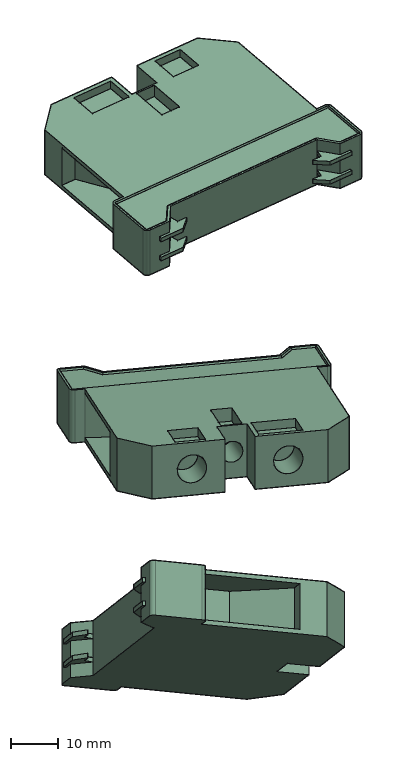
import cadquery as cq

THICKNESS = 12.0
MID_Z = THICKNESS / 2
BODY_HALF_WIDTH = 25.1
BODY_CHAMFER = 6.1
NOTCH_DEPTH = 7.15
NOTCH_WIDTH = 6.5

FOOT_START = 34.0
FOOT_END = 46.4
FOOT_HALF_WIDTH = 28.25
FOOT_CORNER_RADIUS = 1.0
SEAT_X = 42.45
SEAT_HALF_WIDTH = 19.0
SEAT_MOUTH_HALF_WIDTH = 22.15

RIM_WIDTH = 0.55
RECESS_DEPTH = 0.4
RECESS_WALL_RUN = 0.2

HOOK_THICKNESS = 1.0
HOOK_SPACING = 5.1
HOOK_BACK_X = 47.0
HOOK_ROOT_X = 45.0
HOOK_BARB_X = 44.45
HOOK_TIP_FLAT = 0.2
HOOK_OUTER_Y = 24.75
HOOK_BEVEL_Y = 19.1
HOOK_THROAT_Y = 18.6
HOOK_TIP_Y = 16.4

POCKET_MARGIN = 1.0
TERMINAL_POCKET_END_X = 7.55
TERMINAL_POCKET_DEPTH = 2.0
UPPER_POCKET_Y = (7.25, 13.8)
LOWER_POCKET_Y = (-13.8, -4.25)
MIDDLE_POCKET_X = (7.55, 16.5)
MIDDLE_POCKET_HALF_WIDTH = 2.3
MIDDLE_POCKET_DEPTH = 3.0

TERMINAL_HOLE_DIAMETER = 6.3
TERMINAL_HOLE_Y = 10.4
MIDDLE_HOLE_DIAMETER = 4.7

CAVITY_WALL = 1.0
CAVITY_START = 12.15
CAVITY_FLAT_START = 24.05
CAVITY_FLAT_END = 32.0
CAVITY_SIDE_DEPTH = 3.5
CAVITY_DEPTH = 10.5


def make_box(x_range, y_range, z_range):
    """Axis-aligned box spanning the three (low, high) ranges."""
    spans = [high - low for low, high in (x_range, y_range, z_range)]
    corner = (x_range[0], y_range[0], z_range[0])
    return cq.Workplane("XY").box(*spans, centered=False).translate(corner)


def add_mirror(solid):
    """The solid together with its mirror image across Y = 0."""
    return solid.union(solid.mirror("XZ"))


def make_body():
    range_y = (-BODY_HALF_WIDTH, BODY_HALF_WIDTH)
    body = make_box((0, FOOT_START + FOOT_CORNER_RADIUS), range_y, (0, THICKNESS))
    body = body.edges("|Z and <X").chamfer(BODY_CHAMFER)
    notch_y = (-NOTCH_WIDTH / 2, NOTCH_WIDTH / 2)
    return body.cut(make_box((0, NOTCH_DEPTH), notch_y, (0, THICKNESS)))


def foot_outline():
    """Closed outline of the foot, with sharp corners."""
    half = [
        (FOOT_START, FOOT_HALF_WIDTH),
        (FOOT_END, FOOT_HALF_WIDTH),
        (FOOT_END, SEAT_MOUTH_HALF_WIDTH),
        (SEAT_X, SEAT_HALF_WIDTH),
    ]
    other_half = [(x, -y) for x, y in reversed(half)]
    return cq.Workplane("XY").polyline(half + other_half).close()


def make_foot():
    foot = foot_outline().extrude(THICKNESS)
    return foot.edges("|Z and (>Y or <Y)").fillet(FOOT_CORNER_RADIUS)


def make_foot_recess():
    floor = foot_outline().offset2D(-RIM_WIDTH - RECESS_WALL_RUN, "intersection")
    mouth = foot_outline().offset2D(-RIM_WIDTH, "intersection")
    floor_wire = floor.val().translate(cq.Vector(0, 0, THICKNESS - RECESS_DEPTH))
    mouth_wire = mouth.val().translate(cq.Vector(0, 0, THICKNESS))
    return cq.Workplane(cq.Solid.makeLoft([floor_wire, mouth_wire], True))


def make_hooks():
    outline = [
        (HOOK_ROOT_X, HOOK_OUTER_Y),
        (HOOK_BACK_X, HOOK_OUTER_Y),
        (HOOK_BACK_X, HOOK_BEVEL_Y),
        (HOOK_BARB_X + HOOK_TIP_FLAT, HOOK_TIP_Y),
        (HOOK_BARB_X, HOOK_TIP_Y),
        (HOOK_BARB_X, HOOK_THROAT_Y),
        (SEAT_X, SEAT_HALF_WIDTH),
    ]
    plate = cq.Workplane("XY").polyline(outline).close().extrude(HOOK_THICKNESS)
    hooks = cq.Workplane("XY")
    for side in (-1, 1):
        center_z = MID_Z + side * HOOK_SPACING / 2
        hooks = hooks.add(plate.translate((0, 0, center_z - HOOK_THICKNESS / 2)))
    return add_mirror(hooks.combine())


def make_pockets():
    terminal_x = (POCKET_MARGIN, TERMINAL_POCKET_END_X)
    terminal_z = (THICKNESS - TERMINAL_POCKET_DEPTH, THICKNESS)
    middle_y = (-MIDDLE_POCKET_HALF_WIDTH, MIDDLE_POCKET_HALF_WIDTH)
    middle_z = (THICKNESS - MIDDLE_POCKET_DEPTH, THICKNESS)
    pockets = make_box(MIDDLE_POCKET_X, middle_y, middle_z)
    for pocket_y in (UPPER_POCKET_Y, LOWER_POCKET_Y):
        pockets = pockets.union(make_box(terminal_x, pocket_y, terminal_z))
    return pockets


def make_hole(start_x, end_x, center_y, diameter):
    """Blind round hole along X at mid thickness."""
    profile = cq.Workplane("YZ", origin=(start_x, center_y, MID_Z)).circle(diameter / 2)
    return profile.extrude(end_x - start_x)


def make_holes():
    terminal = make_hole(0, TERMINAL_POCKET_END_X, TERMINAL_HOLE_Y, TERMINAL_HOLE_DIAMETER)
    middle = make_hole(NOTCH_DEPTH, MIDDLE_POCKET_X[1], 0, MIDDLE_HOLE_DIAMETER)
    return add_mirror(terminal).union(middle)


def make_cavities():
    side_y = -BODY_HALF_WIDTH
    outline = [
        (CAVITY_START, side_y),
        (CAVITY_START, side_y + CAVITY_SIDE_DEPTH),
        (CAVITY_FLAT_START, side_y + CAVITY_DEPTH),
        (CAVITY_FLAT_END, side_y + CAVITY_DEPTH),
        (FOOT_START, side_y),
    ]
    profile = cq.Workplane("XY", origin=(0, 0, CAVITY_WALL)).polyline(outline).close()
    return add_mirror(profile.extrude(THICKNESS - 2 * CAVITY_WALL))


result = (
    make_body()
    .union(make_foot())
    .union(make_hooks())
    .cut(make_foot_recess())
    .cut(make_pockets())
    .cut(make_holes())
    .cut(make_cavities())
)